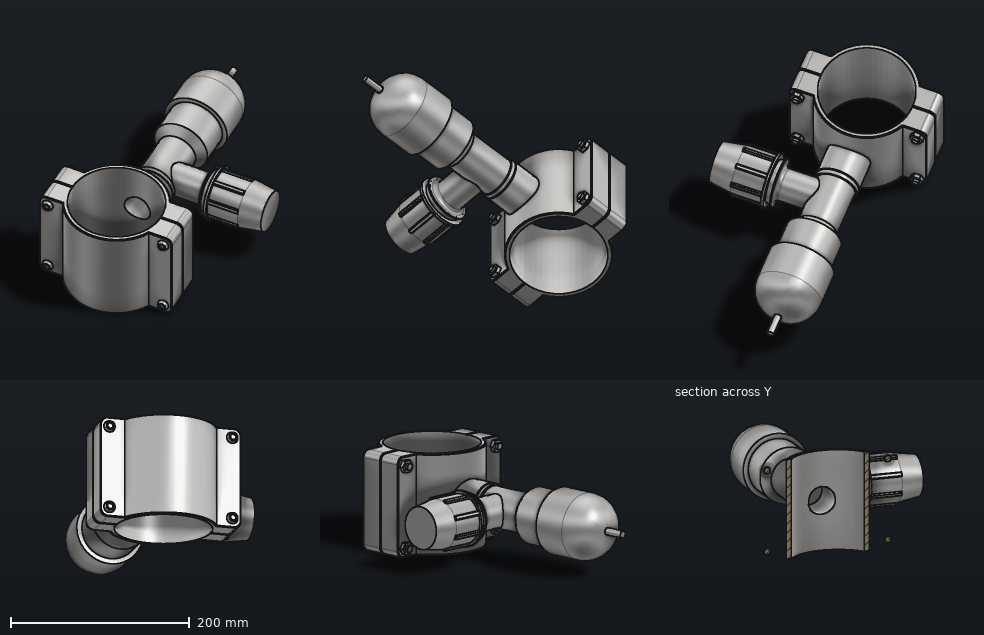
import cadquery as cq
import math

overall_length = 359.3

clamp_height = 116.0
ring_radius = 60.5
bore_radius = 55.0
ear_reach = 82.3
ear_half_depth = 27.5
ear_corner_radius = 8.3
edge_chamfer = 1.0

bolt_x = 72.0
bolt_z = 47.0
shank_diameter = 8.0
shank_end_y = 36.0
head_diameter = 13.0
head_height = 4.3
head_middle_diameter = 12.0
head_face_diameter = 9.5
socket_flats = 6.5
socket_depth = 1.5
nut_flats = 13.3
nut_thickness = 5.0

collar_diameter = 51.5
collar_top_y = 91.0
collar_taper = 1.0
lip_diameter = 50.5
lip_top_y = 96.3
tee_diameter = 46.7
tee_top_y = 153.5
body_diameter = 66.0
body_base_y = tee_top_y + (body_diameter - tee_diameter) / 2
cap_diameter = 78.0
cap_base_y = 201.2
cap_top_y = 275.0
cap_rounding = 34.0
pin_diameter = 8.3
pin_top_y = overall_length - ring_radius
tap_hole_diameter = 32.0

outlet_y = 115.0
outlet_diameter = 38.5
flare_diameter = 48.0
disc_diameter = 57.5
disc_start_x = 59.3
disc_end_x = 60.7
neck_diameter = 51.5
flange_diameter = 64.0
flange_start_x = 67.2
flange_end_x = 70.5
grip_diameter = 57.5
grip_end_x = 107.8
nose_end_diameter = 49.0
nose_end_x = 135.0

rib_count = 8
rib_root_width = 5.5
rib_tip_width = 3.5
rib_outer_radius = 31.0


def y_cylinder(diameter, start_y, end_y, x=0, z=0):
    """Cylinder along +Y between two Y levels."""
    direction = cq.Vector(0, 1, 0)
    return cq.Workplane(cq.Solid.makeCylinder(
        diameter / 2, end_y - start_y, cq.Vector(x, start_y, z), direction))


def y_hexagon(flats, start_y, length, x, z):
    """Hexagonal prism along +Y with two corners pointing along X."""
    corner_diameter = flats / math.cos(math.pi / 6)
    return (
        cq.Workplane("XZ", origin=(x, start_y, z))
        .polygon(6, corner_diameter)
        .extrude(-length)
    )


def make_clamp():
    ring = (
        cq.Workplane("XY")
        .workplane(offset=-clamp_height / 2)
        .circle(ring_radius)
        .extrude(clamp_height)
        .edges()
        .chamfer(edge_chamfer)
    )
    ring_middle = cq.Workplane("XY").box(
        2 * ear_reach, 2 * (ear_half_depth - edge_chamfer), clamp_height
    )
    clamp = ring.cut(ring_middle)
    for side in (-1, 1):
        ears = (
            cq.Workplane("XY")
            .box(2 * ear_reach, ear_half_depth, clamp_height)
            .edges("|Y")
            .fillet(ear_corner_radius)
            .faces("<Y or >Y")
            .edges()
            .chamfer(edge_chamfer)
            .translate((0, side * ear_half_depth / 2, 0))
        )
        clamp = clamp.union(ears)
    return clamp


def make_bolt(x, z):
    """Button-head bolt joining the two ears, with a hexagonal nut on the +Y side."""
    head_y = -ear_half_depth - head_height
    shank = y_cylinder(shank_diameter, -ear_half_depth, shank_end_y, x, z)
    head_profile = (
        cq.Workplane("XY", origin=(x, -ear_half_depth, z))
        .lineTo(head_diameter / 2, 0)
        .threePointArc(
            (head_middle_diameter / 2, -head_height / 2),
            (head_face_diameter / 2, -head_height),
        )
        .lineTo(0, -head_height)
        .close()
    )
    head = head_profile.revolve(360, (0, 0), (0, 1))
    socket = y_hexagon(socket_flats, head_y, socket_depth, x, z)
    socket = socket.rotate((x, 0, z), (x, 1, z), 90)
    nut = y_hexagon(nut_flats, ear_half_depth, nut_thickness, x, z)
    return shank.union(head).union(nut).cut(socket)


def make_main_branch():
    stem_profile = (
        cq.Workplane("XY")
        .lineTo(collar_diameter / 2, 0)
        .lineTo(collar_diameter / 2, collar_top_y - collar_taper)
        .lineTo(lip_diameter / 2, collar_top_y)
        .lineTo(lip_diameter / 2, lip_top_y)
        .lineTo(tee_diameter / 2, lip_top_y)
        .lineTo(tee_diameter / 2, tee_top_y)
        .lineTo(body_diameter / 2, body_base_y)
        .lineTo(body_diameter / 2, cap_base_y)
        .lineTo(0, cap_base_y)
        .close()
    )
    stem = stem_profile.revolve(360, (0, 0), (0, 1))
    cap = (
        y_cylinder(cap_diameter, cap_base_y, cap_top_y)
        .faces(">Y")
        .edges()
        .fillet(cap_rounding)
    )
    pin = y_cylinder(pin_diameter, cap_top_y, pin_top_y)
    return stem.union(cap).union(pin)


def make_side_outlet():
    """Revolved outlet with a flared root and a ribbed compression nut."""
    flare_radius = (flare_diameter - outlet_diameter) / 2
    flare_start_x = disc_start_x - flare_radius
    flare_mid_x = flare_start_x + flare_radius * math.sin(math.pi / 4)
    flare_mid_r = flare_diameter / 2 - flare_radius * math.cos(math.pi / 4)
    profile = (
        cq.Workplane("XY", origin=(0, outlet_y, 0))
        .lineTo(0, outlet_diameter / 2)
        .lineTo(flare_start_x, outlet_diameter / 2)
        .threePointArc((flare_mid_x, flare_mid_r), (disc_start_x, flare_diameter / 2))
        .lineTo(disc_start_x, disc_diameter / 2)
        .lineTo(disc_end_x, disc_diameter / 2)
        .lineTo(disc_end_x, neck_diameter / 2)
        .lineTo(flange_start_x, neck_diameter / 2)
        .lineTo(flange_start_x, flange_diameter / 2)
        .lineTo(flange_end_x, flange_diameter / 2)
        .lineTo(flange_end_x, grip_diameter / 2)
        .lineTo(grip_end_x, grip_diameter / 2)
        .lineTo(nose_end_x, nose_end_diameter / 2)
        .lineTo(nose_end_x, 0)
        .close()
    )
    outlet = profile.revolve(360, (0, 0), (1, 0))

    rib_root_radius = grip_diameter / 2
    rib_pitch = 360 / rib_count
    rib_section = (
        cq.Workplane("YZ", origin=(flange_end_x, outlet_y, 0))
        .lineTo(0, rib_root_width / 2)
        .lineTo(rib_root_radius, rib_root_width / 2)
        .lineTo(rib_outer_radius, rib_tip_width / 2)
        .lineTo(rib_outer_radius, -rib_tip_width / 2)
        .lineTo(rib_root_radius, -rib_root_width / 2)
        .lineTo(0, -rib_root_width / 2)
        .close()
    )
    rib = rib_section.extrude(grip_end_x - flange_end_x)
    for index in range(rib_count):
        angle = (index + 0.5) * rib_pitch
        outlet = outlet.union(rib.rotate((0, outlet_y, 0), (1, outlet_y, 0), angle))
    return outlet


body = make_clamp().union(make_main_branch()).union(make_side_outlet())

pipe_bore = (
    cq.Workplane("XY")
    .workplane(offset=-clamp_height / 2)
    .circle(bore_radius)
    .extrude(clamp_height)
)
tap_hole = y_cylinder(tap_hole_diameter, 0, lip_top_y)
body = body.cut(pipe_bore).cut(tap_hole)

for side_x in (-bolt_x, bolt_x):
    for side_z in (-bolt_z, bolt_z):
        body = body.union(make_bolt(side_x, side_z))

result = body